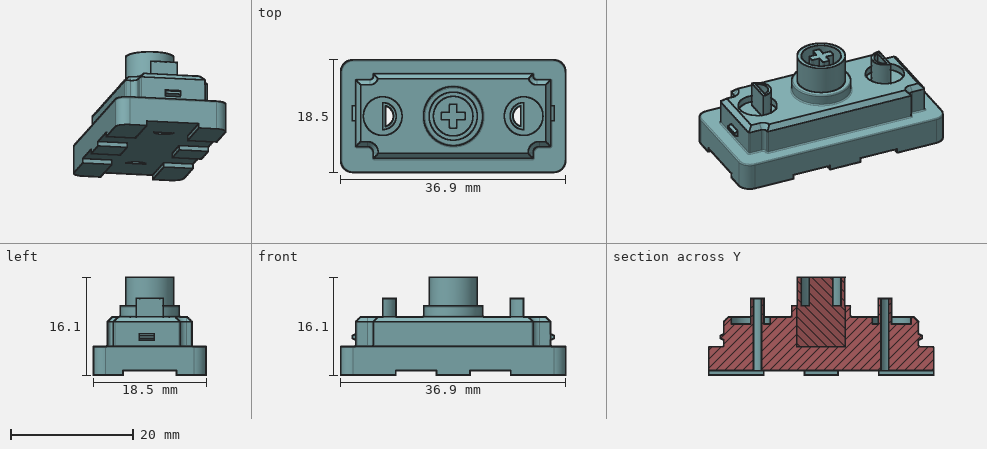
import cadquery as cq
import math

BASE_LENGTH = 36.9
BASE_WIDTH = 18.5
BASE_TOP = 4.72
BASE_CORNER_RADIUS = 2.0
EDGE_ROUND = 0.2

CHANNEL_DEPTH = 0.75
CROSS_CHANNEL_WIDTH = 6.65
CROSS_CHANNEL_X = 6.1
LONG_CHANNEL_WIDTH = 8.7

DECK_TOP = 9.55
DECK_HALF_LENGTH = 15.98
DECK_HALF_WIDTH = 6.95
DECK_BEVEL = 0.8
NOTCH_X = 13.1
REAR_NOTCH_Y = 5.95
REAR_NOTCH_RADIUS = 0.6
FRONT_NOTCH_Y = -4.98
FRONT_NOTCH_RADIUS = 1.0
NOTCH_OVERRUN = 1.85

NUB_WIDTH = 2.5
NUB_REACH = 0.6
NUB_ROOT_LOW = 5.72
NUB_ROOT_HIGH = 6.75
NUB_TIP_LOW = 6.0
NUB_TIP_HIGH = 6.45
NUB_Y = (REAR_NOTCH_Y + FRONT_NOTCH_Y) / 2

COLLAR_DIAMETER = 9.7
COLLAR_TOP = 11.4

POST_X = 11.55
POST_RADIUS = 2.2
POST_WALL = 0.48
POST_TOP = 12.6
RECESS_DIAMETER = 6.35
RECESS_DEPTH = 1.18

STEM_DIAMETER = 7.9
STEM_BORE_DIAMETER = 6.5
STEM_TOP = 16.05
STEM_FLOOR = COLLAR_TOP
STEM_BOTTOM = BASE_TOP
CROSS_SPAN = 3.95
CROSS_THICKNESS = 1.2
CROSS_TIP_RADIUS = 0.2

SIDES = (-1, 1)
SELECT_MARGIN = 0.05


def block(length, width, bottom, top):
    """Rectangular block centred on the Z axis, spanning the given heights."""
    sheet = cq.Workplane("XY", origin=(0, 0, bottom)).rect(length, width)
    return sheet.extrude(top - bottom)


def cylinder(diameter, bottom, top, x=0.0):
    """Upright cylinder standing on the X axis, spanning the given heights."""
    sheet = cq.Workplane("XY", origin=(x, 0, bottom)).circle(diameter / 2)
    return sheet.extrude(top - bottom)


def make_base():
    """Base plate with round corners and a rounded upper rim."""
    base = block(BASE_LENGTH, BASE_WIDTH, 0, BASE_TOP)
    base = base.edges("|Z").fillet(BASE_CORNER_RADIUS)
    return base.faces(">Z").edges().fillet(EDGE_ROUND)


def make_notch(side, inner_y, radius):
    """Cutters for one deck corner: a straight shaft and the flare that continues the bevel."""
    outer_x = DECK_HALF_LENGTH + NOTCH_OVERRUN
    outer_y = math.copysign(DECK_HALF_WIDTH + NOTCH_OVERRUN, inner_y)
    centre_x = side * (NOTCH_X + outer_x) / 2
    centre_y = (inner_y + outer_y) / 2
    profile = cq.Sketch().rect(outer_x - NOTCH_X, abs(outer_y - inner_y)).vertices().fillet(radius)

    shaft = cq.Workplane("XY", origin=(centre_x, centre_y, BASE_TOP)).placeSketch(profile)
    flare = cq.Workplane("XY", origin=(centre_x, centre_y, DECK_TOP - DECK_BEVEL)).placeSketch(profile)
    return shaft.extrude(DECK_TOP - BASE_TOP), flare.extrude(DECK_BEVEL, taper=-45)


def make_deck():
    """Notched block: small rounds on the upright corners below, a sharp wide bevel on top."""
    plain = block(2 * DECK_HALF_LENGTH, 2 * DECK_HALF_WIDTH, BASE_TOP, DECK_TOP)
    bevelled = plain.faces(">Z").edges().chamfer(DECK_BEVEL)
    for side in SIDES:
        for inner_y, radius in (
            (FRONT_NOTCH_Y, FRONT_NOTCH_RADIUS),
            (REAR_NOTCH_Y, REAR_NOTCH_RADIUS),
        ):
            shaft, flare = make_notch(side, inner_y, radius)
            plain = plain.cut(shaft)
            bevelled = bevelled.cut(shaft).cut(flare)

    end_corners = plain.faces("<X or >X").edges("|Z")
    side_corners = plain.faces("<Y or >Y").edges("|Z")
    rounded = end_corners.add(side_corners).fillet(EDGE_ROUND)
    return rounded.intersect(bevelled)


def make_nub(side):
    """Snap nub on one deck end, with sloped upper and lower faces."""
    root_x = side * DECK_HALF_LENGTH
    tip_x = side * (DECK_HALF_LENGTH + NUB_REACH)
    profile = cq.Workplane("XZ", origin=(0, NUB_Y + NUB_WIDTH / 2, 0)).polyline(
        [
            (root_x, NUB_ROOT_LOW),
            (tip_x, NUB_TIP_LOW),
            (tip_x, NUB_TIP_HIGH),
            (root_x, NUB_ROOT_HIGH),
        ]
    )
    return profile.close().extrude(NUB_WIDTH)


def half_disc(side, radius, flat_x, bottom, top):
    """Half-round prism about the post axis, its flat facing the nearer deck end."""
    disc = cylinder(2 * radius, bottom, top, side * POST_X)
    keep = block(2 * flat_x, 2 * radius, bottom, top)
    return disc.intersect(keep)


def round_joint(body, half_length, half_width, height):
    """Round the edges that lie flat at one height inside a centred rectangle."""
    zone = cq.selectors.BoxSelector(
        (-half_length, -half_width, height - SELECT_MARGIN),
        (half_length, half_width, height + SELECT_MARGIN),
    )
    return body.edges(zone).fillet(EDGE_ROUND)


def add_deck(housing):
    """Set the deck on the base, with a round along its foot."""
    housing = housing.union(make_deck())
    return round_joint(
        housing, DECK_HALF_LENGTH + SELECT_MARGIN, DECK_HALF_WIDTH + SELECT_MARGIN, BASE_TOP
    )


def add_collar(housing):
    """Set the stem collar on the deck, with a rounded rim and foot."""
    housing = housing.union(cylinder(COLLAR_DIAMETER, DECK_TOP, COLLAR_TOP))
    housing = housing.faces(">Z").edges().fillet(EDGE_ROUND)
    reach = COLLAR_DIAMETER / 2 + SELECT_MARGIN
    return round_joint(housing, reach, reach, DECK_TOP)


def add_post(housing, side):
    """Sink one recess, stand its half-round post in it and bore the post through to the underside."""
    recess_floor = DECK_TOP - RECESS_DEPTH
    post = half_disc(side, POST_RADIUS, POST_X, recess_floor, POST_TOP)
    bore = half_disc(side, POST_RADIUS - POST_WALL, POST_X - POST_WALL, 0, POST_TOP)
    housing = housing.cut(cylinder(RECESS_DIAMETER, recess_floor, DECK_TOP, side * POST_X))
    return housing.union(post).cut(bore)


def cut_channels(housing):
    """Cut the two channels across the underside and the one along it."""
    cross_channel = block(CROSS_CHANNEL_WIDTH, BASE_WIDTH, 0, CHANNEL_DEPTH)
    for side in SIDES:
        housing = housing.cut(cross_channel.translate((side * CROSS_CHANNEL_X, 0, 0)))
    return housing.cut(block(BASE_LENGTH, LONG_CHANNEL_WIDTH, 0, CHANNEL_DEPTH))


def make_housing():
    """Base, deck, collar, nubs and posts as one body, bored to receive the stem."""
    housing = add_collar(add_deck(make_base()))
    for side in SIDES:
        housing = housing.union(make_nub(side))
        housing = add_post(housing, side)
    housing = cut_channels(housing)
    return housing.cut(cylinder(STEM_DIAMETER, STEM_BOTTOM, COLLAR_TOP))


def make_stem():
    """Cup with a cross standing on its floor, level with the rim."""
    stem = cylinder(STEM_DIAMETER, STEM_BOTTOM, STEM_TOP)
    stem = stem.cut(cylinder(STEM_BORE_DIAMETER, STEM_FLOOR, STEM_TOP))
    for length, width in ((CROSS_SPAN, CROSS_THICKNESS), (CROSS_THICKNESS, CROSS_SPAN)):
        arm = block(length, width, STEM_FLOOR, STEM_TOP).edges("|Z").fillet(CROSS_TIP_RADIUS)
        stem = stem.union(arm)
    return stem


housing = make_housing()
stem = make_stem()
result = cq.Compound.makeCompound([housing.val(), stem.val()])